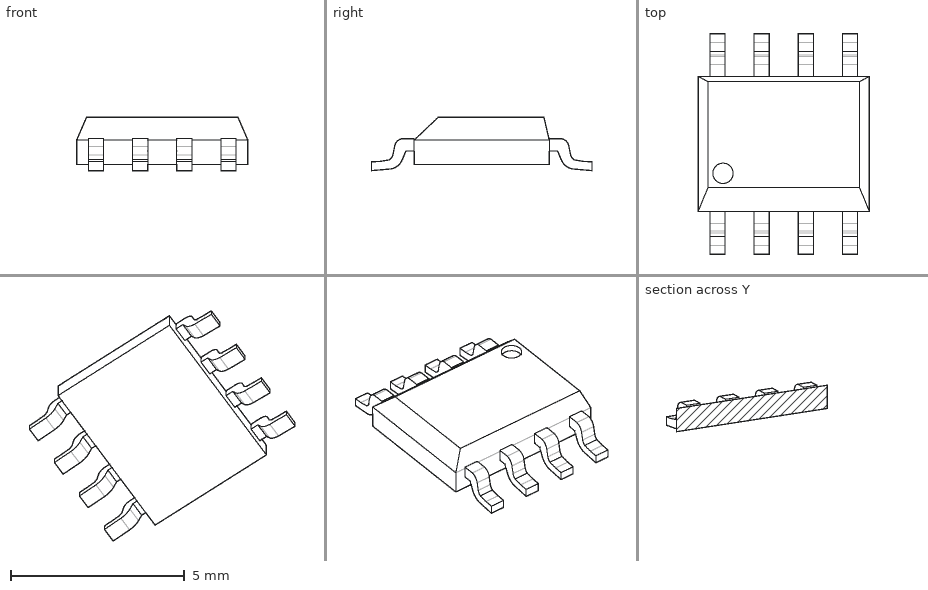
import cadquery as cq

body_length = 4.93
body_width = 3.885
body_bottom = 0.18
ridge_height = 0.88
top_height = 1.54
top_inset_side = 0.285
top_inset_rear = 0.15
top_inset_front = 0.69

mark_radius = 0.29
mark_depth = 0.19
mark_x = -1.745
mark_y = -0.845

leads_per_row = 4
lead_pitch = 1.27
lead_width = 0.445
lead_reach = 3.175

shoulder_top = 0.93
shoulder_bottom = 0.565
tip_thickness = 0.26
outer_bend_start = (2.285, shoulder_top)
outer_bend_middle = (2.43, 0.85)
outer_bend_end = (2.51, 0.705)
foot_bend_top_start = (2.56, 0.46)
foot_bend_top_middle = (2.6, 0.375)
foot_bend_top_end = (2.655, 0.32)
foot_flat_start = (2.92, 0.27)
foot_heel = (2.6, 0.05)
foot_bend_bottom_middle = (2.405, 0.145)
foot_bend_bottom_end = (2.285, 0.31)
inner_corner = (2.18, shoulder_bottom)


def make_base():
    base_height = ridge_height - body_bottom
    return (
        cq.Workplane("XY")
        .workplane(offset=body_bottom)
        .rect(body_length, body_width)
        .extrude(base_height)
    )


def make_cap():
    """Loft from the ridge outline to the smaller top face, which sits towards +Y."""
    top_length = body_length - 2 * top_inset_side
    top_width = body_width - top_inset_front - top_inset_rear
    top_shift = (top_inset_front - top_inset_rear) / 2
    return (
        cq.Workplane("XY")
        .workplane(offset=ridge_height)
        .rect(body_length, body_width)
        .workplane(offset=top_height - ridge_height)
        .center(0, top_shift)
        .rect(top_length, top_width)
        .loft(ruled=True)
    )


def make_mark():
    return (
        cq.Workplane("XY")
        .workplane(offset=top_height - mark_depth)
        .center(mark_x, mark_y)
        .circle(mark_radius)
        .extrude(mark_depth)
    )


def make_rear_lead():
    """One lead on the +Y side, centred on X = 0 and starting at the body face."""
    root = body_width / 2
    return (
        cq.Workplane("YZ")
        .moveTo(root, shoulder_top)
        .lineTo(*outer_bend_start)
        .threePointArc(outer_bend_middle, outer_bend_end)
        .lineTo(*foot_bend_top_start)
        .threePointArc(foot_bend_top_middle, foot_bend_top_end)
        .lineTo(*foot_flat_start)
        .lineTo(lead_reach, tip_thickness)
        .lineTo(lead_reach, 0)
        .lineTo(*foot_heel)
        .threePointArc(foot_bend_bottom_middle, foot_bend_bottom_end)
        .lineTo(*inner_corner)
        .lineTo(root, shoulder_bottom)
        .close()
        .extrude(lead_width / 2, both=True)
    )


result = make_base().union(make_cap()).cut(make_mark())

rear_lead = make_rear_lead()
front_lead = rear_lead.mirror("XZ")
first_lead_x = -lead_pitch * (leads_per_row - 1) / 2
for index in range(leads_per_row):
    offset = (first_lead_x + index * lead_pitch, 0, 0)
    result = result.union(rear_lead.translate(offset))
    result = result.union(front_lead.translate(offset))